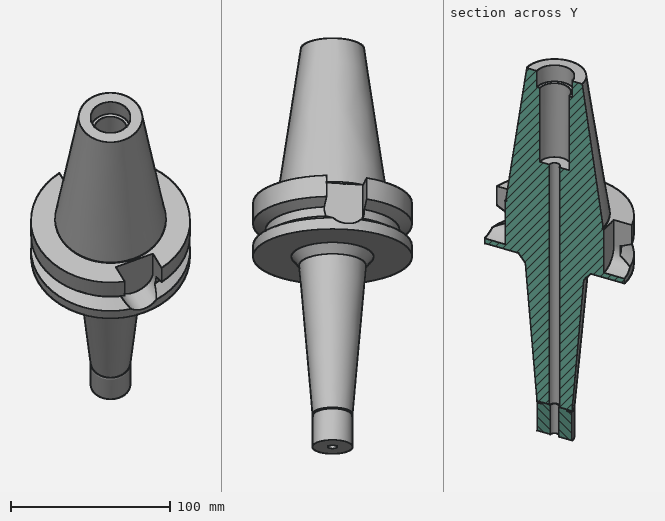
import cadquery as cq

TOTAL_LENGTH = 266.8
GAUGE_Z = 165.0
FLANGE_TOP_Z = 163.5
GROOVE_TOP_Z = 149.5
GROOVE_FLOOR_TOP_Z = 145.5
GROOVE_FLOOR_BOTTOM_Z = 139.3
GROOVE_BOTTOM_Z = 135.0
FLANGE_BOTTOM_Z = 127.5
NECK_TOP_Z = 121.7
TIP_LENGTH = 22.0
GAP_HEIGHT = 0.8
TIP_CHAMFER_HEIGHT = 1.3

FLANGE_RADIUS = 100.0 / 2
GROOVE_RADIUS = 42.2
TAPER_LARGE_RADIUS = 35.0
TAPER_SMALL_RADIUS = 20.0
RELIEF_RADIUS = 34.5
NECK_CONE_RADIUS = 26.0
NECK_TOP_RADIUS = 21.0
TIP_RADIUS = 12.67
TIP_SHOULDER_RADIUS = 12.3
SPIGOT_RADIUS = 9.0

COUNTERBORE_RADIUS = 12.5
COUNTERBORE_DEPTH = 12.0
BORE_RADIUS = 10.5
BORE_DEPTH = 66.7
HOLDER_PASSAGE_RADIUS = 3.5
TIP_PASSAGE_RADIUS = 3.0

SLOT_WIDTH = 25.5
SLOT_FLOOR_X = 35.5
SLOT_BOTTOM_Z = 131.5


def upright_cylinder(radius, bottom_z, top_z):
    return cq.Workplane("XY").workplane(offset=bottom_z).circle(radius).extrude(top_z - bottom_z)


def turn(profile):
    """Revolve a closed (radius, height) profile about Z."""
    return cq.Workplane("XZ").polyline(profile).close().revolve(360, (0, 0, 0), (0, 1, 0))


def drive_slot():
    """Round-bottomed slot on the +X side, open at the top and outer side of the flange."""
    round_radius = SLOT_WIDTH / 2
    round_center_z = SLOT_BOTTOM_Z + round_radius
    return (
        cq.Workplane("YZ", origin=(SLOT_FLOOR_X, 0, 0))
        .moveTo(-round_radius, FLANGE_TOP_Z)
        .lineTo(-round_radius, round_center_z)
        .threePointArc((0, SLOT_BOTTOM_Z), (round_radius, round_center_z))
        .lineTo(round_radius, FLANGE_TOP_Z)
        .close()
        .extrude(FLANGE_RADIUS - SLOT_FLOOR_X)
    )


def make_holder():
    """Taper shank, grooved flange and slender neck, turned about Z."""
    profile = [
        (0, TIP_LENGTH),
        (TIP_RADIUS, TIP_LENGTH),
        (NECK_TOP_RADIUS, NECK_TOP_Z),
        (NECK_CONE_RADIUS, FLANGE_BOTTOM_Z),
        (FLANGE_RADIUS, FLANGE_BOTTOM_Z),
        (FLANGE_RADIUS, GROOVE_BOTTOM_Z),
        (GROOVE_RADIUS, GROOVE_FLOOR_BOTTOM_Z),
        (GROOVE_RADIUS, GROOVE_FLOOR_TOP_Z),
        (FLANGE_RADIUS, GROOVE_TOP_Z),
        (FLANGE_RADIUS, FLANGE_TOP_Z),
        (RELIEF_RADIUS, FLANGE_TOP_Z),
        (TAPER_LARGE_RADIUS, GAUGE_Z),
        (TAPER_SMALL_RADIUS, TOTAL_LENGTH),
        (0, TOTAL_LENGTH),
    ]
    holder = turn(profile)

    holder = holder.cut(upright_cylinder(COUNTERBORE_RADIUS, TOTAL_LENGTH - COUNTERBORE_DEPTH, TOTAL_LENGTH))
    holder = holder.cut(upright_cylinder(BORE_RADIUS, TOTAL_LENGTH - BORE_DEPTH, TOTAL_LENGTH))
    holder = holder.cut(upright_cylinder(HOLDER_PASSAGE_RADIUS, TIP_LENGTH, TOTAL_LENGTH))

    for angle in (0, 180):
        holder = holder.cut(drive_slot().rotate((0, 0, 0), (0, 0, 1), angle))
    return holder


def make_tip():
    """Cylindrical end piece whose narrow spigot butts against the holder."""
    shoulder_z = TIP_LENGTH - GAP_HEIGHT
    profile = [
        (TIP_PASSAGE_RADIUS, 0),
        (TIP_RADIUS, 0),
        (TIP_RADIUS, shoulder_z - TIP_CHAMFER_HEIGHT),
        (TIP_SHOULDER_RADIUS, shoulder_z),
        (SPIGOT_RADIUS, shoulder_z),
        (SPIGOT_RADIUS, TIP_LENGTH),
        (TIP_PASSAGE_RADIUS, TIP_LENGTH),
    ]
    return turn(profile)


holder = make_holder()
tip = make_tip()
result = cq.Compound.makeCompound([holder.val(), tip.val()])